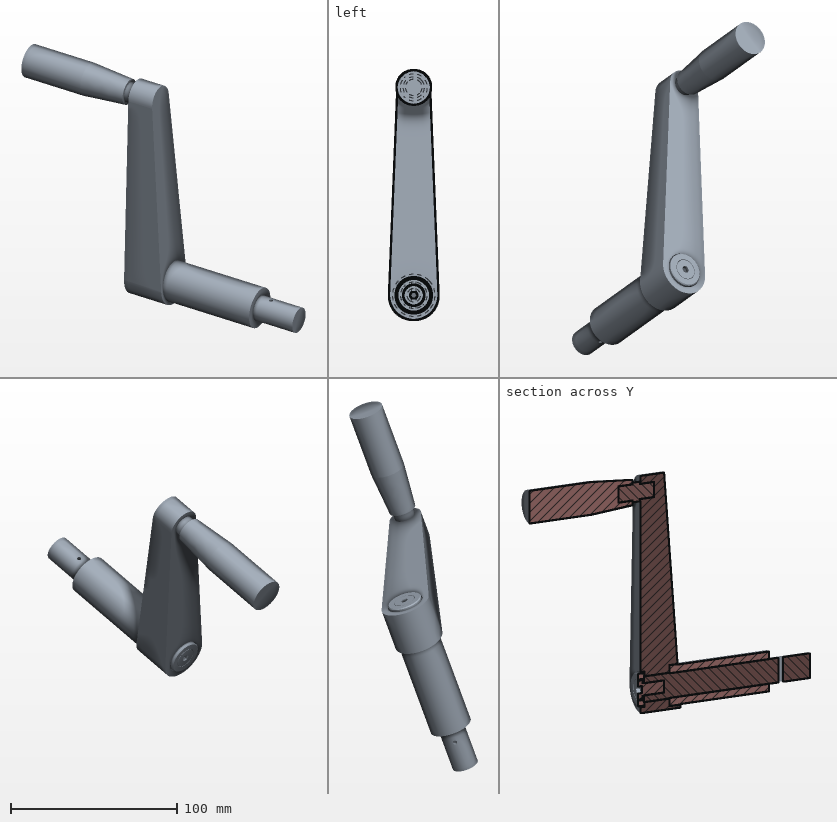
import cadquery as cq
import math

GRIP_AXIS_Z = 140.0
SHAFT_AXIS_Z = 15.0

GRIP_DIAMETER = 21.0
GRIP_END_DIAMETER = 16.3
TAPER_START_X = 41.0
GRIP_END_X = 69.1
NECK_DIAMETER = 12.7
STUD_DIAMETER = 10.0
STUD_DEPTH = 9.4

ARM_FRONT_X = 74.2
ARM_TOP_BACK_X = 90.0
ARM_BOTTOM_BACK_X = 101.1
ARM_BOTTOM_RADIUS = SHAFT_AXIS_Z
ARM_TOP_RADIUS = 10.0
ARM_TOP_Z = GRIP_AXIS_Z + ARM_TOP_RADIUS

WASHER_FACE_X = 72.5
WASHER_BACK_X = 76.8
WASHER_DIAMETER = 21.0
WASHER_CHAMFER = 0.5
WASHER_RECESS_DIAMETER = 22.0
HEAD_DIAMETER = 12.4
HEAD_RECESS_DIAMETER = 13.0
HEAD_HEIGHT = 2.8
SCREW_DIAMETER = 8.0
SCREW_END_X = 89.9
HEX_ACROSS_FLATS = 4.1
HEX_DEPTH = 2.5

SHAFT_DIAMETER = 16.0
SHAFT_END_X = 187.2
SLEEVE_DIAMETER = 25.5
SLEEVE_START_X = 93.6
SLEEVE_END_X = 160.0
CROSS_HOLE_DIAMETER = 2.5
CROSS_HOLE_X = 167.8


def cylinder(diameter, start_x, end_x, axis_z):
    """Round bar along X."""
    plane = cq.Workplane("YZ", origin=(start_x, 0, axis_z))
    return plane.circle(diameter / 2).extrude(end_x - start_x)


def make_spindle():
    neck = cylinder(NECK_DIAMETER, GRIP_END_X, ARM_FRONT_X, GRIP_AXIS_Z)
    stud = cylinder(STUD_DIAMETER, GRIP_END_X - STUD_DEPTH, ARM_FRONT_X + STUD_DEPTH, GRIP_AXIS_Z)
    return neck.union(stud)


def make_grip(spindle):
    profile = (
        cq.Workplane("XZ", origin=(0, 0, GRIP_AXIS_Z))
        .lineTo(0, GRIP_DIAMETER / 2)
        .lineTo(TAPER_START_X, GRIP_DIAMETER / 2)
        .lineTo(GRIP_END_X, GRIP_END_DIAMETER / 2)
        .lineTo(GRIP_END_X, 0)
        .close()
    )
    return profile.revolve(360, (0, 0, 0), (1, 0, 0)).cut(spindle)


def make_screw():
    head_back_x = WASHER_FACE_X + HEAD_HEIGHT
    head = cylinder(HEAD_DIAMETER, WASHER_FACE_X, head_back_x, SHAFT_AXIS_Z)
    shank = cylinder(SCREW_DIAMETER, head_back_x, SCREW_END_X, SHAFT_AXIS_Z)
    hex_across_corners = HEX_ACROSS_FLATS / math.cos(math.pi / 6)
    socket = (
        cq.Workplane("YZ", origin=(WASHER_FACE_X, 0, SHAFT_AXIS_Z))
        .polygon(6, hex_across_corners)
        .extrude(HEX_DEPTH)
    )
    return head.union(shank).cut(socket)


def make_washer(screw):
    disc = cylinder(WASHER_DIAMETER, WASHER_FACE_X, WASHER_BACK_X, SHAFT_AXIS_Z)
    disc = disc.faces("<X").chamfer(WASHER_CHAMFER)
    head_recess = cylinder(
        HEAD_RECESS_DIAMETER, WASHER_FACE_X, WASHER_FACE_X + HEAD_HEIGHT, SHAFT_AXIS_Z
    )
    return disc.cut(head_recess).cut(screw)


def make_shaft(screw):
    bar = cylinder(SHAFT_DIAMETER, WASHER_BACK_X, SHAFT_END_X, SHAFT_AXIS_Z)
    cross_hole = (
        cq.Workplane("XY")
        .center(CROSS_HOLE_X, 0)
        .circle(CROSS_HOLE_DIAMETER / 2)
        .extrude(2 * SHAFT_AXIS_Z)
    )
    return bar.cut(cross_hole).cut(screw)


def make_sleeve(shaft_bore):
    return cylinder(SLEEVE_DIAMETER, SLEEVE_START_X, SLEEVE_END_X, SHAFT_AXIS_Z).cut(shaft_bore)


def make_arm_blank():
    """Two round ends joined by tangent sides, with a sloping back face."""
    slope = math.asin((ARM_BOTTOM_RADIUS - ARM_TOP_RADIUS) / (GRIP_AXIS_Z - SHAFT_AXIS_Z))
    top_y = ARM_TOP_RADIUS * math.cos(slope)
    top_z = GRIP_AXIS_Z + ARM_TOP_RADIUS * math.sin(slope)
    bottom_y = ARM_BOTTOM_RADIUS * math.cos(slope)
    bottom_z = SHAFT_AXIS_Z + ARM_BOTTOM_RADIUS * math.sin(slope)
    outline = (
        cq.Workplane("YZ", origin=(ARM_FRONT_X, 0, 0))
        .moveTo(bottom_y, bottom_z)
        .lineTo(top_y, top_z)
        .threePointArc((0, ARM_TOP_Z), (-top_y, top_z))
        .lineTo(-bottom_y, bottom_z)
        .threePointArc((0, 0), (bottom_y, bottom_z))
        .close()
        .extrude(ARM_BOTTOM_BACK_X - ARM_FRONT_X)
    )
    side_profile = (
        cq.Workplane("XZ")
        .moveTo(ARM_FRONT_X, 0)
        .lineTo(ARM_BOTTOM_BACK_X, 0)
        .lineTo(ARM_TOP_BACK_X, ARM_TOP_Z)
        .lineTo(ARM_FRONT_X, ARM_TOP_Z)
        .close()
        .extrude(ARM_BOTTOM_RADIUS, both=True)
    )
    return outline.intersect(side_profile)


def make_arm(spindle, shaft_bore):
    washer_recess = cylinder(WASHER_RECESS_DIAMETER, ARM_FRONT_X, WASHER_BACK_X, SHAFT_AXIS_Z)
    sleeve_seat = cylinder(SLEEVE_DIAMETER, SLEEVE_START_X, SLEEVE_END_X, SHAFT_AXIS_Z)
    return make_arm_blank().cut(washer_recess).cut(shaft_bore).cut(sleeve_seat).cut(spindle)


shaft_bore = cylinder(SHAFT_DIAMETER, WASHER_BACK_X, SHAFT_END_X, SHAFT_AXIS_Z)
spindle = make_spindle()
grip = make_grip(spindle)
screw = make_screw()
washer = make_washer(screw)
shaft = make_shaft(screw)
sleeve = make_sleeve(shaft_bore)
arm = make_arm(spindle, shaft_bore)

result = cq.Compound.makeCompound([
    grip.val(),
    spindle.val(),
    arm.val(),
    washer.val(),
    screw.val(),
    shaft.val(),
    sleeve.val(),
])